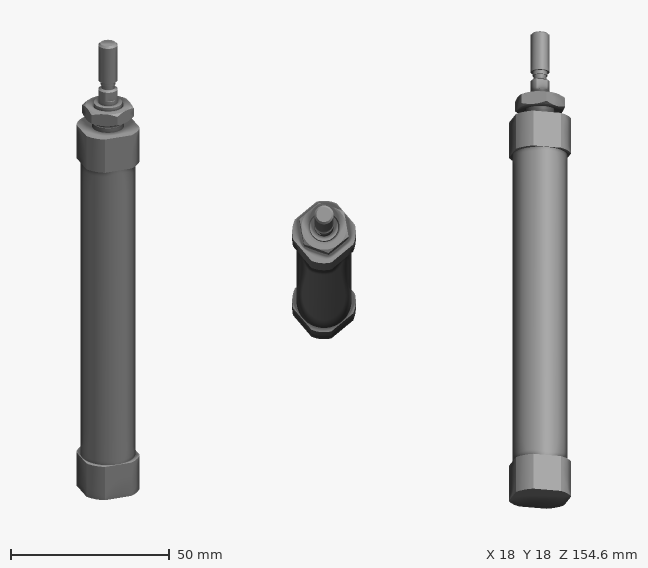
import cadquery as cq
import math

TOTAL_HEIGHT = 154.6

CAP_WIDTH = 18.0
CAP_FLAT_WIDTH = 9.0
CAP_HEIGHT = 11.6
TUBE_DIAMETER = 17.3
HOUSING_HEIGHT = 125.7
SHOULDER_DIAMETER = 10.0
SHOULDER_HEIGHT = 1.5
NOSE_DIAMETER = 9.0
NOSE_TOP = 134.0

NUT_ACROSS_FLATS = 14.2
NUT_BOTTOM = 129.0
NUT_THICKNESS = 4.2
NUT_BORE_CHAMFER = 0.5
NUT_CHAMFER_ANGLE = 30.0

ROD_DIAMETER = 6.0
ROD_TIP_CHAMFER = 0.6
ROD_THREAD_BOTTOM = 141.8
THREAD_ROOT_DIAMETER = 4.8
THREAD_RUNOUT_BOTTOM = 140.5
NECK_DIAMETER = 4.2
NECK_BOTTOM = 139.1
ROD_SHOULDER = 138.7
WRENCH_ACROSS_FLATS = 5.0
WRENCH_FLAT_HEIGHT = 3.2

ROD_BOTTOM = HOUSING_HEIGHT - CAP_HEIGHT


def cylinder(diameter, bottom, top):
    return cq.Workplane("XY").workplane(offset=bottom).circle(diameter / 2).extrude(top - bottom)


def make_cap(bottom):
    """Square cap whose corners are rounded about the cylinder axis."""
    square = (
        cq.Workplane("XY")
        .workplane(offset=bottom)
        .rect(CAP_WIDTH, CAP_WIDTH)
        .extrude(CAP_HEIGHT)
    )
    corner_diameter = math.hypot(CAP_WIDTH, CAP_FLAT_WIDTH)
    return square.intersect(cylinder(corner_diameter, bottom, bottom + CAP_HEIGHT))


def make_housing():
    """Tube with two caps and a stepped nose, bored for the rod."""
    shoulder_top = HOUSING_HEIGHT + SHOULDER_HEIGHT
    upper_cap_bottom = HOUSING_HEIGHT - CAP_HEIGHT
    return (
        make_cap(0)
        .union(cylinder(TUBE_DIAMETER, CAP_HEIGHT, upper_cap_bottom))
        .union(make_cap(upper_cap_bottom))
        .union(cylinder(SHOULDER_DIAMETER, HOUSING_HEIGHT, shoulder_top))
        .union(cylinder(NOSE_DIAMETER, shoulder_top, NOSE_TOP))
        .cut(cylinder(ROD_DIAMETER, ROD_BOTTOM, NOSE_TOP))
    )


def make_nut():
    """Hexagon nut with corners on the X axis, chamfered at both faces."""
    corner_diameter = NUT_ACROSS_FLATS / math.cos(math.radians(30))
    face_radius = NUT_ACROSS_FLATS / 2
    corner_radius = corner_diameter / 2
    chamfer_height = (corner_radius - face_radius) * math.tan(math.radians(NUT_CHAMFER_ANGLE))
    hexagon = cq.Workplane("XY").polygon(6, corner_diameter).extrude(NUT_THICKNESS)
    chamfer_envelope = (
        cq.Workplane("XZ")
        .polyline([
            (0, 0),
            (face_radius, 0),
            (corner_radius, chamfer_height),
            (corner_radius, NUT_THICKNESS - chamfer_height),
            (face_radius, NUT_THICKNESS),
            (0, NUT_THICKNESS),
        ])
        .close()
        .revolve(360, (0, 0, 0), (0, 1, 0))
    )
    bore = cylinder(NOSE_DIAMETER, 0, NUT_THICKNESS)
    nut = hexagon.intersect(chamfer_envelope).cut(bore)
    bore_rims = nut.edges(cq.selectors.RadiusNthSelector(0))
    return bore_rims.chamfer(NUT_BORE_CHAMFER).translate((0, 0, NUT_BOTTOM))


def make_rod():
    """Turned rod with a relieved thread end and two wrench flats facing X."""
    rod_radius = ROD_DIAMETER / 2
    root_radius = THREAD_ROOT_DIAMETER / 2
    neck_radius = NECK_DIAMETER / 2
    rod = (
        cq.Workplane("XZ")
        .polyline([
            (0, ROD_BOTTOM),
            (rod_radius, ROD_BOTTOM),
            (rod_radius, ROD_SHOULDER),
            (root_radius, NECK_BOTTOM),
            (neck_radius, NECK_BOTTOM),
            (neck_radius, THREAD_RUNOUT_BOTTOM),
            (root_radius, THREAD_RUNOUT_BOTTOM),
            (root_radius, ROD_THREAD_BOTTOM),
            (rod_radius, ROD_THREAD_BOTTOM),
            (rod_radius, TOTAL_HEIGHT - ROD_TIP_CHAMFER),
            (rod_radius - ROD_TIP_CHAMFER, TOTAL_HEIGHT),
            (0, TOTAL_HEIGHT),
        ])
        .close()
        .revolve(360, (0, 0, 0), (0, 1, 0))
    )
    flat_depth = (ROD_DIAMETER - WRENCH_ACROSS_FLATS) / 2
    for side in (-1, 1):
        flat_cut = cq.Workplane("XY").box(flat_depth, ROD_DIAMETER, WRENCH_FLAT_HEIGHT).translate((
            side * (WRENCH_ACROSS_FLATS + flat_depth) / 2,
            0,
            ROD_SHOULDER - WRENCH_FLAT_HEIGHT / 2,
        ))
        rod = rod.cut(flat_cut)
    return rod


housing = make_housing()
nut = make_nut()
rod = make_rod()

result = cq.Compound.makeCompound([housing.val(), nut.val(), rod.val()])